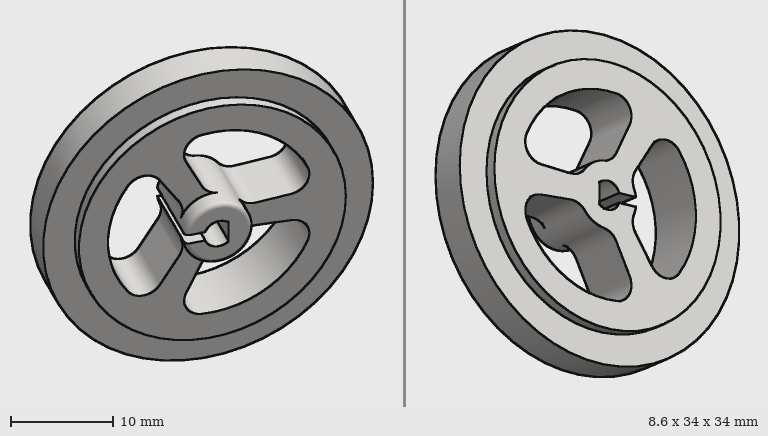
import math

import cadquery as cq

TIRE_DIAMETER = 34.0
TIRE_WIDTH = 4.0
RIM_DIAMETER = 27.5
RIM_OVERHANG = 1.3
HUB_DIAMETER = 7.0
HUB_LENGTH = 2.0
HUB_EDGE_RADIUS = 0.5

BORE_DIAMETER = 3.0
BORE_FLAT_DISTANCE = 1.0
SLOT_WIDTH = 1.0

WINDOW_COUNT = 3
WINDOW_OUTER_RADIUS = 10.75
WINDOW_OUTER_CORNER_RADIUS = 2.0
WINDOW_INNER_CORNER_RADIUS = 2.0
WINDOW_APEX_DISTANCE = 1.3
WINDOW_SIDE_ANGLE = 56.6

RIM_WIDTH = TIRE_WIDTH + 2 * RIM_OVERHANG
TOTAL_WIDTH = RIM_WIDTH + HUB_LENGTH
HUB_RADIUS = HUB_DIAMETER / 2


def disc(diameter, x_start, width):
    """Solid disc about the X axis."""
    return cq.Workplane("YZ").workplane(offset=x_start).circle(diameter / 2).extrude(width)


def make_body():
    rim = disc(RIM_DIAMETER, 0, RIM_WIDTH)
    tire = disc(TIRE_DIAMETER, RIM_OVERHANG, TIRE_WIDTH)
    hub = disc(HUB_DIAMETER, 0, TOTAL_WIDTH).faces(">X").edges().fillet(HUB_EDGE_RADIUS)
    return rim.union(tire).union(hub)


def side_line_point(radius):
    """Point (along, across) where a window's side line crosses a circle about the axis."""
    angle = math.radians(WINDOW_SIDE_ANGLE)
    polar_angle = angle - math.asin(WINDOW_APEX_DISTANCE * math.sin(angle) / radius)
    return radius * math.cos(polar_angle), radius * math.sin(polar_angle)


def make_window():
    """Cutter for the window centered on -Y, its corners rounded."""
    outer_along, outer_across = side_line_point(WINDOW_OUTER_RADIUS)
    inner_along, inner_across = side_line_point(HUB_RADIUS)
    window = (
        cq.Workplane("YZ")
        .moveTo(-inner_along, -inner_across)
        .lineTo(-outer_along, -outer_across)
        .threePointArc((-WINDOW_OUTER_RADIUS, 0), (-outer_along, outer_across))
        .lineTo(-inner_along, inner_across)
        .threePointArc((-HUB_RADIUS, 0), (-inner_along, -inner_across))
        .close()
        .extrude(RIM_WIDTH)
    )
    window = window.edges("|X").edges("<Y").fillet(WINDOW_OUTER_CORNER_RADIUS)
    return window.edges("|X").edges(">Y").fillet(WINDOW_INNER_CORNER_RADIUS)


def make_bore():
    """D-shaped bore through the whole part, with its flat on the +Y side."""
    bore = disc(BORE_DIAMETER, 0, TOTAL_WIDTH)
    flat_side = cq.Workplane("XY").box(
        TOTAL_WIDTH,
        BORE_DIAMETER,
        BORE_DIAMETER,
        centered=(False, False, True),
    )
    return bore.cut(flat_side.translate((0, BORE_FLAT_DISTANCE, 0)))


def make_slot():
    """Slot from the axis toward -Y, opening into one window."""
    slot = cq.Workplane("XY").box(
        TOTAL_WIDTH,
        HUB_RADIUS,
        SLOT_WIDTH,
        centered=(False, False, True),
    )
    return slot.translate((0, -HUB_RADIUS, 0))


result = make_body()
window_cutter = make_window()
for index in range(WINDOW_COUNT):
    rotation = index * 360 / WINDOW_COUNT
    result = result.cut(window_cutter.rotate((0, 0, 0), (1, 0, 0), rotation))
result = result.cut(make_bore()).cut(make_slot())